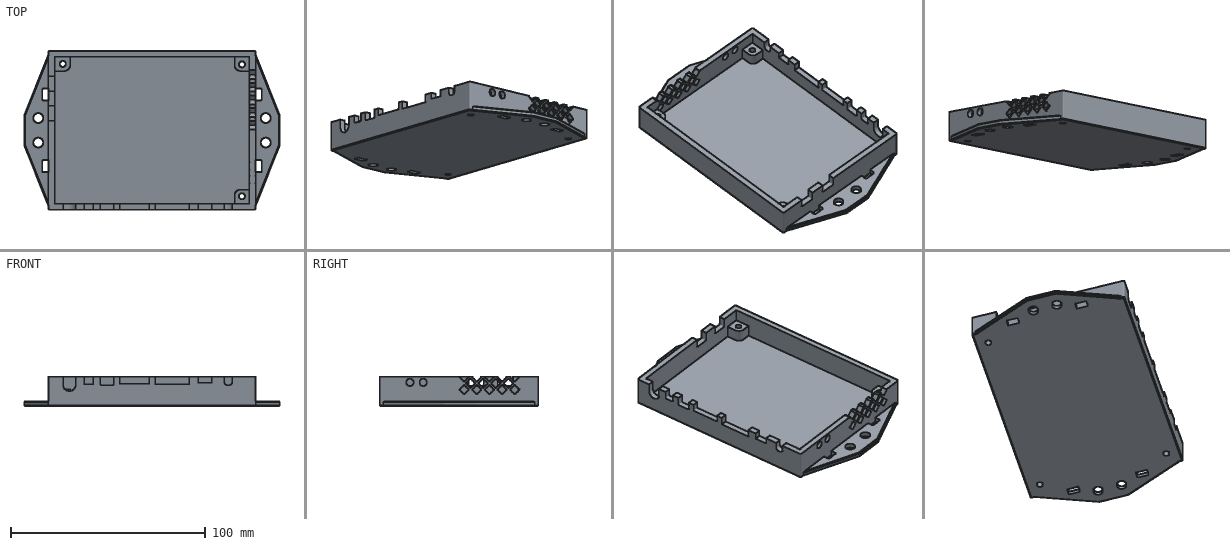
import cadquery as cq
import math

box_length = 106.7
box_width = 81.9
box_height = 15.3
wall = 3.2
floor_thickness = 2.6
corner_radius = 0.7
base_chamfer = 0.5
inner_x = box_length / 2 - wall
inner_y = box_width / 2 - wall

ear_span = 131.7
ear_thickness = floor_thickness
ear_root_half = 39.0
ear_tip_half = 7.8
ear_chamfer = 0.5
ear_tip_radius = 1.0
ear_hole_diameter = 5.0
ear_hole_x = 58.6
ear_hole_y = 6.3
strap_slot_depth = 3.2
strap_slot_length = 6.0
strap_slot_y = 18.5
strap_slot_corner = 0.5

post_top = 8.8
post_width = 7.2
post_corner = 3.0
post_hole_diameter = 3.0
posts = [
    (-1, 1, 8.0, 46.0, 34.2),
    (1, 1, 7.6, 46.4, 34.0),
    (1, -1, 7.6, 46.4, 34.0),
]

front_notches = [
    (-35.0, -30.2, 4.1, 0.7),
    (-26.6, -19.8, 4.5, 0.7),
    (-16.7, -1.3, 3.7, 0.3),
    (1.7, 19.1, 4.1, 0),
    (23.8, 30.7, 3.3, 0),
    (37.3, 41.3, 4.5, 1.7),
]
round_notch_x = -42.5
round_notch_width = 6.5
round_notch_depth = 7.5

side_notches = [(5.0, 12.6), (20.0, 27.8)]
side_notch_depth = 4.7
side_notch_corner = 0.4

vent_rows = 3
vent_columns = 5
vent_side = 3.4
vent_bar = 1.2
vent_diagonal = vent_side * math.sqrt(2)
vent_pitch = (vent_side + vent_bar) * math.sqrt(2)
vent_first_y = 2.6
vent_top_row_z = box_height - 0.3
led_hole_diameter = 3.8
led_hole_z = 12.2
led_hole_ys = [-18.5, -25.3]


def block(x_start, x_end, y_start, y_end, z_start, z_end):
    """Rectangular block given by its limits on each axis."""
    return (
        cq.Workplane("XY", origin=(x_start, y_start, z_start))
        .box(x_end - x_start, y_end - y_start, z_end - z_start, centered=False)
    )


def make_ears():
    half = ear_span / 2
    root_x = box_length / 2
    outline = [
        (half, ear_tip_half),
        (root_x, ear_root_half),
        (-root_x, ear_root_half),
        (-half, ear_tip_half),
        (-half, -ear_tip_half),
        (-root_x, -ear_root_half),
        (root_x, -ear_root_half),
        (half, -ear_tip_half),
    ]
    return (
        cq.Workplane("XY")
        .polyline(outline)
        .close()
        .extrude(ear_thickness)
        .edges("|Z and (<X or >X)")
        .fillet(ear_tip_radius)
        .faces("<Z or >Z")
        .chamfer(ear_chamfer)
    )


def make_shell():
    shell = (
        cq.Workplane("XY")
        .box(box_length, box_width, box_height, centered=(True, True, False))
        .edges("|Z")
        .fillet(corner_radius)
        .faces("<Z")
        .chamfer(base_chamfer)
    )
    body = shell.union(make_ears())
    return body.cut(block(-inner_x, inner_x, -inner_y, inner_y, floor_thickness, box_height))


def make_post(side_x, side_y, length):
    """Corner post; side_x and side_y are the signs of its corner."""
    post = (
        cq.Workplane("XY")
        .box(2 * length, 2 * post_width, post_top, centered=(True, True, False))
        .edges("|Z")
        .fillet(post_corner)
        .translate((side_x * inner_x, side_y * inner_y, 0))
    )
    return post.intersect(block(-inner_x, inner_x, -inner_y, inner_y, 0, box_height))


def add_posts(body):
    for side_x, side_y, length, hole_x, hole_y in posts:
        screw_hole = (
            cq.Workplane("XY")
            .center(side_x * hole_x, side_y * hole_y)
            .circle(post_hole_diameter / 2)
            .extrude(post_top)
        )
        body = body.union(make_post(side_x, side_y, length)).cut(screw_hole)
    return body


def cut_ear_openings(body):
    hole_points = [(sx * ear_hole_x, sy * ear_hole_y) for sx in (-1, 1) for sy in (-1, 1)]
    body = body.cut(
        cq.Workplane("XY").pushPoints(hole_points).circle(ear_hole_diameter / 2).extrude(ear_thickness)
    )
    box_zone = block(-box_length / 2, box_length / 2, -box_width / 2, box_width / 2, 0, box_height)
    for side in (-1, 1):
        slots = (
            cq.Workplane("XY")
            .pushPoints([(0, -strap_slot_y), (0, strap_slot_y)])
            .rect(2 * strap_slot_depth, strap_slot_length)
            .extrude(ear_thickness)
            .edges("|Z")
            .fillet(strap_slot_corner)
            .translate((side * box_length / 2, 0, 0))
        )
        body = body.cut(slots.cut(box_zone))
    return body


def make_notch(start, end, depth, corner):
    """Notch through the -Y wall along X, open at the rim."""
    outer_y = -box_width / 2
    notch = block(start, end, outer_y, outer_y + wall, box_height - depth, box_height)
    if corner > 0:
        notch = notch.edges("|Y and <Z").fillet(corner)
    return notch


def cut_front_notches(body):
    for start, end, depth, corner in front_notches:
        body = body.cut(make_notch(start, end, depth, corner))
    radius = round_notch_width / 2
    start = round_notch_x - radius
    end = round_notch_x + radius
    spring_z = box_height - round_notch_depth + radius
    round_notch = (
        cq.Workplane("XZ", origin=(0, -inner_y, 0))
        .moveTo(start, box_height)
        .lineTo(start, spring_z)
        .threePointArc((round_notch_x, spring_z - radius), (end, spring_z))
        .lineTo(end, box_height)
        .close()
        .extrude(wall)
    )
    return body.cut(round_notch)


def cut_side_notches(body):
    outer_x = -box_length / 2
    for start, end in side_notches:
        notch = (
            block(outer_x, outer_x + wall, start, end, box_height - side_notch_depth, box_height)
            .edges("|X and <Z")
            .fillet(side_notch_corner)
        )
        body = body.cut(notch)
    return body


def cut_vents(body):
    centres = []
    for row in range(vent_rows):
        shifted = row % 2
        count = vent_columns - shifted
        row_start = vent_first_y + shifted * vent_pitch / 2
        row_z = vent_top_row_z - row * vent_pitch / 2
        centres += [(row_start + column * vent_pitch, row_z) for column in range(count)]
    face = cq.Workplane("YZ", origin=(inner_x, 0, 0))
    vents = face.pushPoints(centres).polygon(4, vent_diagonal).extrude(wall)
    led_points = [(y, led_hole_z) for y in led_hole_ys]
    led_holes = face.pushPoints(led_points).circle(led_hole_diameter / 2).extrude(wall)
    return body.cut(vents).cut(led_holes)


result = add_posts(make_shell())
result = cut_ear_openings(result)
result = cut_front_notches(result)
result = cut_side_notches(result)
result = cut_vents(result)